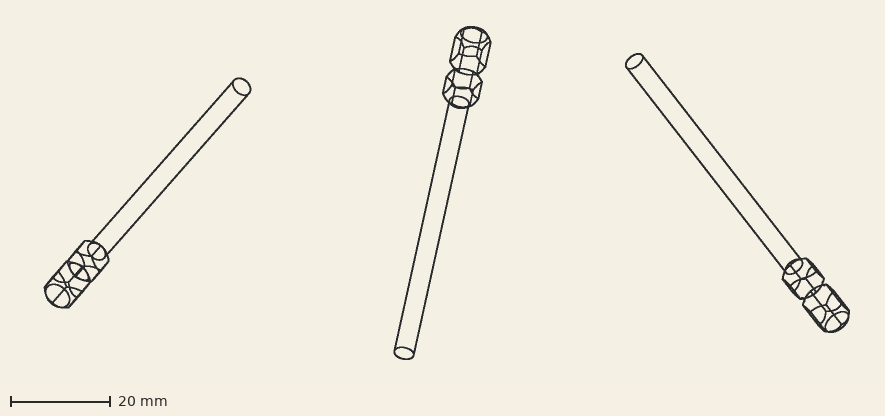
import cadquery as cq
import math

total_length = 80.0

across_flats = 6.3
corner_radius = across_flats / 2 / math.cos(math.radians(30))
shank_end = 17.0

shaft_radius = 2.0

end_face_radius = 2.7
end_cone_slope = 1.4
end_cone_length = (corner_radius - end_face_radius) * end_cone_slope

shoulder_length = corner_radius - shaft_radius

groove_center = 9.3
groove_floor_radius = 2.4
groove_arc_radius = 2.1
groove_depth = corner_radius - groove_floor_radius
groove_half_width = math.sqrt(groove_arc_radius**2 - (groove_arc_radius - groove_depth) ** 2)


def make_hexagon_bar():
    """Plain hexagonal bar over the full length, running toward +Y."""
    bar = cq.Workplane("XZ").polygon(6, 2 * corner_radius).extrude(total_length)
    return bar.translate((0, total_length, 0))


def make_turned_envelope():
    """Solid of revolution about Y that limits the hexagonal bar."""
    return (
        cq.Workplane("XY")
        .lineTo(end_face_radius, 0)
        .lineTo(corner_radius, end_cone_length)
        .lineTo(corner_radius, groove_center - groove_half_width)
        .threePointArc(
            (groove_floor_radius, groove_center),
            (corner_radius, groove_center + groove_half_width),
        )
        .lineTo(corner_radius, shank_end - shoulder_length)
        .lineTo(shaft_radius, shank_end)
        .lineTo(shaft_radius, total_length)
        .lineTo(0, total_length)
        .close()
        .revolve(360, (0, 0, 0), (0, 1, 0))
    )


result = make_hexagon_bar().intersect(make_turned_envelope())